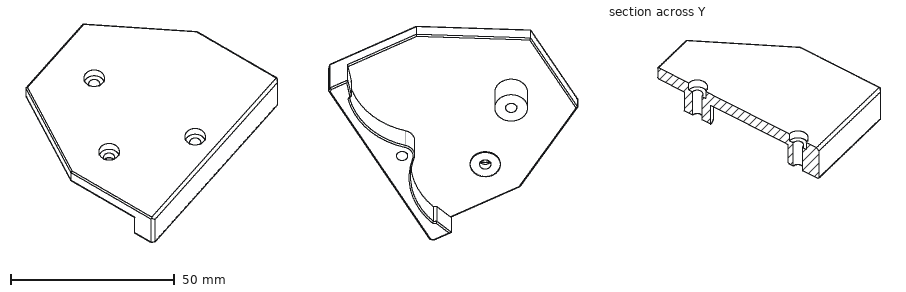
import cadquery as cq
import math

length = 61.0
width = 66.0
height = 13.0
plate_thickness = 5.0
nose_width = 29.95
shoulder_x = 29.95
edge_chamfer = 0.45
back_chamfer = 0.9

front_screw = (15.0, 0)
back_screw = (53.0, 0)
side_screw = (35.0, -20.0)
hole_diameter = 3.4
counterbore_diameter = 6.3
counterbore_depth = 3.0

boss_diameter = 10.0
pad_diameter = 9.25
pad_height = 0.4

bulge_radius = 3.8
scallop_radius = 24.0
scallop_y = 20.0
scallop_end_y = 26.65
end_pad_y = 27.1
end_pad_angle = 18.0
rail_end_x = 53.85

half_width = width / 2
plate_bottom = height - plate_thickness


def make_plate():
    outline = [
        (0, -nose_width / 2),
        (shoulder_x, -half_width),
        (length, -half_width),
        (length, half_width),
        (shoulder_x, half_width),
        (0, nose_width / 2),
    ]
    plate = cq.Workplane("XY").workplane(offset=plate_bottom).polyline(outline).close()
    plate = plate.extrude(plate_thickness)
    plate = plate.edges("|Z and >X").chamfer(back_chamfer)
    plate = plate.faces(">Z").edges(">X").chamfer(back_chamfer)
    plate = plate.faces(">Z").edges("not >X").chamfer(edge_chamfer)
    return plate.faces("<Z").edges("not >X").chamfer(edge_chamfer)


def make_rail():
    center_distance = bulge_radius + scallop_radius
    tangent_angle = math.asin(scallop_y / center_distance)
    scallop_x = back_screw[0] - center_distance * math.cos(tangent_angle)
    tangent_x = back_screw[0] - bulge_radius * math.cos(tangent_angle)
    tangent_y = bulge_radius * math.sin(tangent_angle)
    bulge_tip = (back_screw[0] - bulge_radius, 0)
    scallop_bottom_x = scallop_x + scallop_radius
    scallop_end_x = scallop_x + math.sqrt(scallop_radius**2 - (scallop_end_y - scallop_y) ** 2)
    end_pad_x = rail_end_x + (half_width - end_pad_y) * math.tan(math.radians(end_pad_angle))

    rail = (
        cq.Workplane("XY")
        .moveTo(length, -half_width)
        .lineTo(rail_end_x, -half_width)
        .lineTo(end_pad_x, -end_pad_y)
        .lineTo(scallop_end_x, -scallop_end_y)
        .threePointArc((scallop_bottom_x, -scallop_y), (tangent_x, -tangent_y))
        .threePointArc(bulge_tip, (tangent_x, tangent_y))
        .threePointArc((scallop_bottom_x, scallop_y), (scallop_end_x, scallop_end_y))
        .lineTo(end_pad_x, end_pad_y)
        .lineTo(rail_end_x, half_width)
        .lineTo(length, half_width)
        .close()
        .extrude(height - back_chamfer)
    )
    rail = rail.edges("|Z and >X").chamfer(back_chamfer)
    return rail.faces("<Z").edges().chamfer(edge_chamfer)


def make_seat(position, diameter, depth):
    seat = cq.Workplane("XY").workplane(offset=plate_bottom - depth).center(*position)
    return seat.circle(diameter / 2).extrude(depth + edge_chamfer)


body = make_plate().union(make_rail())
body = body.union(make_seat(front_screw, boss_diameter, plate_bottom))
body = body.union(make_seat(side_screw, pad_diameter, pad_height))

result = (
    body.faces(">Z")
    .workplane(origin=(0, 0, height))
    .pushPoints([front_screw, back_screw, side_screw])
    .cboreHole(hole_diameter, counterbore_diameter, counterbore_depth)
)